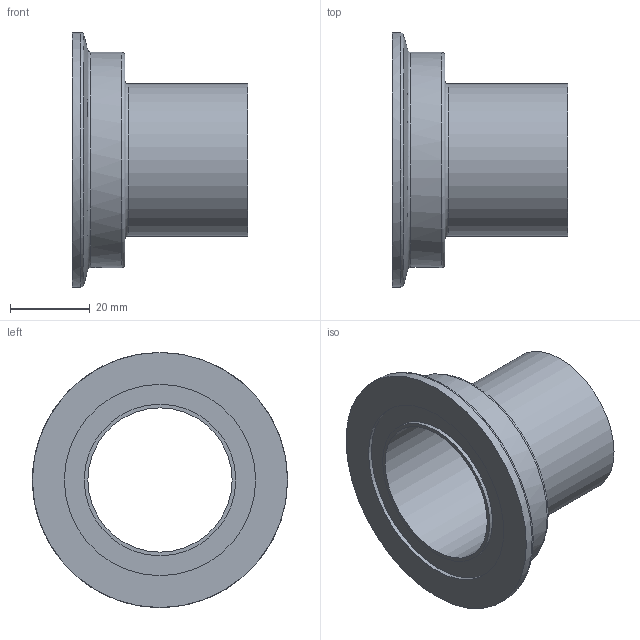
import math

import cadquery as cq

total_length = 44.0
flange_radius = 32.0
flange_rim_width = 2.7
taper_angle = 15.0
hub_radius = 27.0
hub_end = 13.2
tube_radius = 19.1
bore_radius = 18.1
edge_round = 0.8

groove_outer_radius = 24.0
groove_inner_radius = 19.0
groove_depth = 1.0


def outer_body():
    """Flange with tapered back, hub and tube, with rounded edges between them."""
    taper_run = (flange_radius - hub_radius) * math.tan(math.radians(taper_angle))
    profile = (
        cq.Workplane("XZ")
        .lineTo(0, flange_radius)
        .lineTo(flange_rim_width, flange_radius)
        .lineTo(flange_rim_width + taper_run, hub_radius)
        .lineTo(hub_end, hub_radius)
        .lineTo(hub_end, tube_radius)
        .lineTo(total_length, tube_radius)
        .lineTo(total_length, 0)
        .close()
    )
    body = profile.revolve(360, (0, 0, 0), (1, 0, 0))
    return body.edges("%CIRCLE").edges("not(<X or >X)").fillet(edge_round)


def through_bore():
    return cq.Workplane("YZ").circle(bore_radius).extrude(total_length)


def face_groove():
    return (
        cq.Workplane("YZ")
        .circle(groove_outer_radius)
        .circle(groove_inner_radius)
        .extrude(groove_depth)
    )


result = outer_body().cut(through_bore()).cut(face_groove())